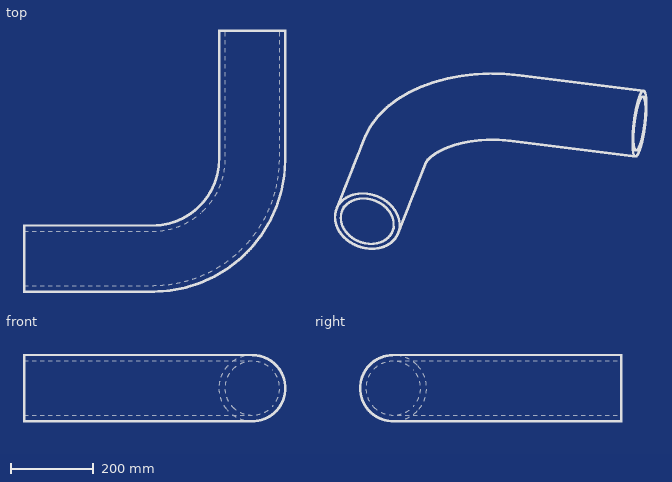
import cadquery as cq

overall_length = 630.0
outer_diameter = 160.0
bore_diameter = 131.0
bend_radius = 1.5 * outer_diameter

leg_length = overall_length - bend_radius - outer_diameter / 2


def bent_rod(diameter):
    """Solid round rod: a leg along +X, a quarter bend, then a leg along +Y."""
    section = cq.Workplane("YZ").circle(diameter / 2)
    first_leg = section.extrude(leg_length)

    bend = (
        cq.Workplane("YZ", origin=(leg_length, 0, 0))
        .circle(diameter / 2)
        .revolve(90, (bend_radius, 0, 0), (bend_radius, 1, 0))
    )

    second_leg = (
        cq.Workplane("XZ", origin=(leg_length + bend_radius, bend_radius, 0))
        .circle(diameter / 2)
        .extrude(-leg_length)
    )
    return first_leg.union(bend).union(second_leg)


result = bent_rod(outer_diameter).cut(bent_rod(bore_diameter))